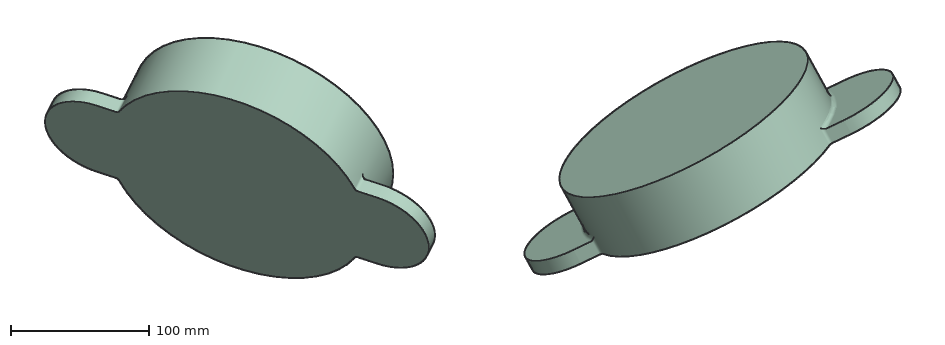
import cadquery as cq

length = 300.0
body_diameter = 202.2
body_depth = 52.0

ear_width = 80.0
ear_thickness = 12.0
root_fillet = 3.0

pick_margin = 1.5


def make_body():
    """Round disc with its flat front face at Y = 0, extending toward +Y."""
    return cq.Workplane("XZ").circle(body_diameter / 2).extrude(-body_depth)


def make_ears():
    """Plate with two round ends, flush with the front face of the disc."""
    return cq.Workplane("XZ").slot2D(length, ear_width).extrude(-ear_thickness)


def ear_root_box(side):
    """Box around the edges where one ear (side -1 or 1) meets the disc wall."""
    body_radius = body_diameter / 2
    half_width = ear_width / 2
    corner_x = (body_radius**2 - half_width**2) ** 0.5
    return cq.selectors.BoxSelector(
        (side * (corner_x - pick_margin), -pick_margin, -half_width - pick_margin),
        (side * (body_radius + pick_margin), ear_thickness + pick_margin, half_width + pick_margin),
    )


def fillet_ear_roots(part):
    """Round the inner corners between both ears and the disc wall."""
    wall = part.faces("%CYLINDER")
    roots = wall.edges(ear_root_box(-1) + ear_root_box(1))
    return roots.fillet(root_fillet)


result = fillet_ear_roots(make_body().union(make_ears()))